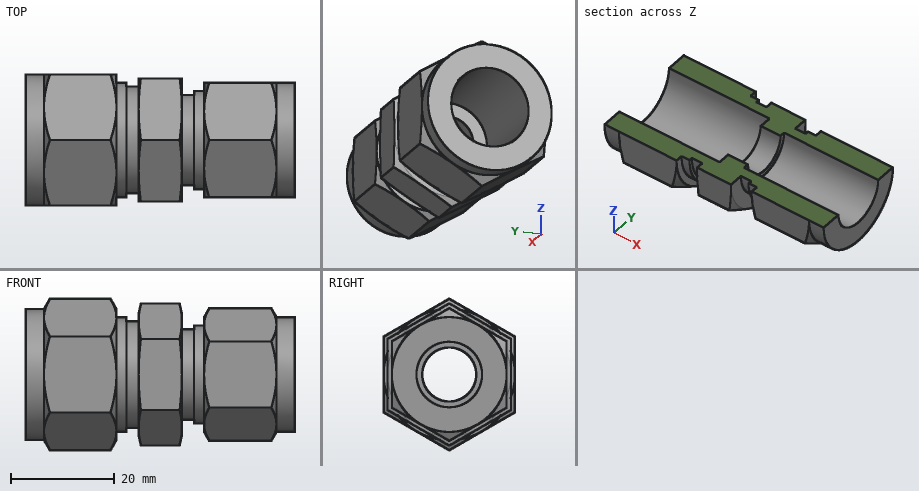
import cadquery as cq
import math

total_length = 52.05

large_tube_dia = 15.9
small_tube_dia = 12.7
large_socket_depth = 24.35
small_socket_depth = 22.85
passage_dia = 10.4

nut_over_tube = 9.55
shoulder_over_tube = 6.35
neck_over_tube = 4.85

collar_length = 3.55
nut_length = 14.0
shoulder_length = 1.95
neck_length = 2.4
nut_chamfer_angle = 30.0

body_flats = 23.85
body_corner_chamfer = 0.4
body_start = collar_length + nut_length + shoulder_length + neck_length
body_length = total_length - 2 * body_start


def corner_diameter(across_flats):
    return across_flats / math.cos(math.radians(30))


def corner_height(across_flats):
    """Radial distance from the inscribed circle to a hexagon corner."""
    return (corner_diameter(across_flats) - across_flats) / 2


def cylinder(start, length, diameter):
    return cq.Workplane("YZ", origin=(start, 0, 0)).circle(diameter / 2).extrude(length)


def chamfered_hexagon(start, length, across_flats, chamfer):
    """Hexagon with corners at +Z and -Z, turned conically at both ends down to its flats."""
    prism = (
        cq.Workplane("YZ", origin=(start, 0, 0))
        .transformed(rotate=(0, 0, 90))
        .polygon(6, corner_diameter(across_flats))
        .extrude(length)
    )
    end = start + length
    face_radius = across_flats / 2
    corner_radius = corner_diameter(across_flats) / 2
    envelope = (
        cq.Workplane("XZ")
        .moveTo(start, 0)
        .lineTo(start, face_radius)
        .lineTo(start + chamfer, corner_radius)
        .lineTo(end - chamfer, corner_radius)
        .lineTo(end, face_radius)
        .lineTo(end, 0)
        .close()
        .revolve(360, (0, 0, 0), (1, 0, 0))
    )
    return prism.intersect(envelope)


def fitting_end(tube_dia):
    """Collar, nut, shoulder and neck, from the outer face at X = 0 inward to the body."""
    nut_flats = tube_dia + nut_over_tube
    nut_chamfer = corner_height(nut_flats) * math.tan(math.radians(nut_chamfer_angle))
    shoulder_start = collar_length + nut_length
    neck_start = shoulder_start + shoulder_length
    collar = cylinder(0, collar_length, nut_flats)
    nut = chamfered_hexagon(collar_length, nut_length, nut_flats, nut_chamfer)
    shoulder = cylinder(shoulder_start, shoulder_length, tube_dia + shoulder_over_tube)
    neck = cylinder(neck_start, neck_length, tube_dia + neck_over_tube)
    return collar.union(nut).union(shoulder).union(neck)


large_end = fitting_end(large_tube_dia)
small_end = fitting_end(small_tube_dia).rotate((0, 0, 0), (0, 0, 1), 180).translate((total_length, 0, 0))
body = chamfered_hexagon(body_start, body_length, body_flats, body_corner_chamfer)
outside = body.union(large_end).union(small_end)

large_socket = cylinder(0, large_socket_depth, large_tube_dia)
small_socket = cylinder(total_length - small_socket_depth, small_socket_depth, small_tube_dia)
passage = cylinder(0, total_length, passage_dia)

result = outside.cut(passage).cut(large_socket).cut(small_socket)